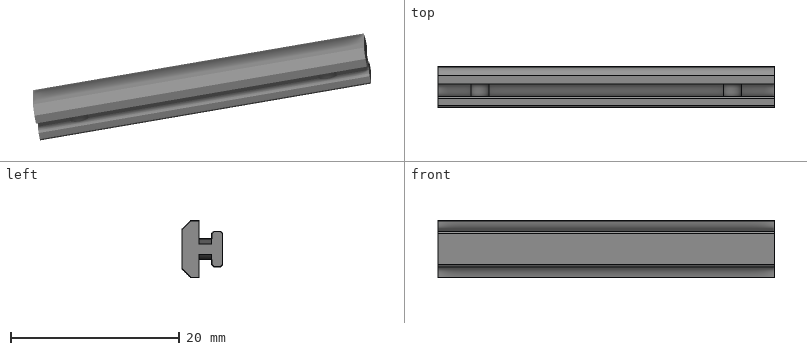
import cadquery as cq

length = 40.0
depth = 4.85

plate_height = 6.75
plate_thickness = 2.05
plate_bevel = 1.05

flange_height = 4.2
flange_thickness = 1.3
flange_bevel = 0.25

web_height = 1.25
boss_diameter = 2.5
boss_end_distance = 5.0

front_y = -depth / 2
flange_back_y = front_y + flange_thickness
back_y = depth / 2
plate_front_y = back_y - plate_thickness
web_width = plate_front_y - flange_back_y


def bar(y_min, thickness, height):
    """Full-length rectangular bar, centred in X and Z."""
    return cq.Workplane("XY").box(length, thickness, height).translate((0, y_min + thickness / 2, 0))


def back_plate():
    plate = bar(plate_front_y, plate_thickness, plate_height)
    return plate.faces(">Y").edges("|X").chamfer(plate_bevel)


def front_flange():
    flange = bar(front_y, flange_thickness, flange_height)
    return flange.edges("|X").chamfer(flange_bevel)


def boss(x):
    """Round boss lying along Y between the flange and the plate."""
    plane = cq.Workplane("XZ", origin=(x, plate_front_y, 0))
    return plane.circle(boss_diameter / 2).extrude(web_width)


result = back_plate().union(bar(flange_back_y, web_width, web_height)).union(front_flange())
boss_x = length / 2 - boss_end_distance
for x in (-boss_x, boss_x):
    result = result.union(boss(x))